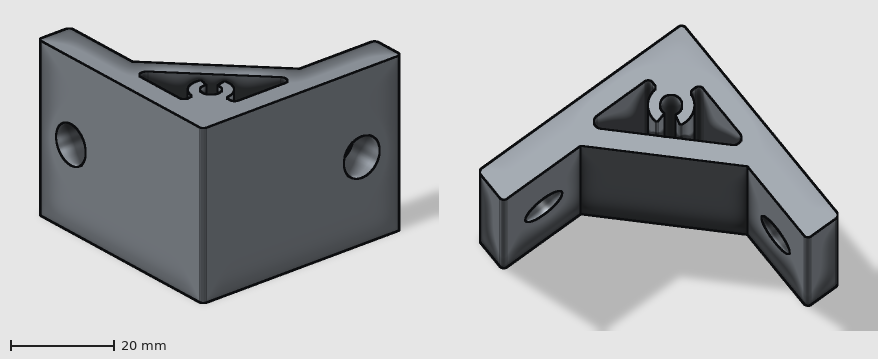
import cadquery as cq
import math

leg_length = 50.0
height = 38.0
leg_thickness = 8.0
corner_radius = 1.0

brace_reach = 39.0
brace_thickness = 4.0

pocket_wall = 5.0
pocket_tip_radius = 1.5
pocket_end_radius = 1.0
ring_root_radius = 0.75

ring_inset = 12.0
ring_outer_radius = 4.5
ring_bore_radius = 2.15
slot_angle = 60.0
slot_direction = 135.0
lip_radius = 0.4

hole_diameter = 9.0
hole_end_distance = 10.0


def round_edges(solid, points, radius):
    """Round the vertical edges that stand on the given XY points."""
    for x, y in points:
        nearest = cq.selectors.NearestToPointSelector((x, y, height / 2))
        solid = solid.edges("|Z").edges(nearest).fillet(radius)
    return solid


def mirrored(point):
    """Reflect an XY point across the bracket's diagonal symmetry plane."""
    x, y = point
    return (-y, -x)


def make_body():
    brace_end = brace_reach - leg_thickness
    body = (
        cq.Workplane("XY")
        .polyline([
            (0, 0),
            (-leg_length, 0),
            (-leg_length, leg_thickness),
            (-brace_end, leg_thickness),
            (-leg_thickness, brace_end),
            (-leg_thickness, leg_length),
            (0, leg_length),
        ])
        .close()
        .extrude(height)
    )
    leg_end = [(-leg_length, 0), (-leg_length, leg_thickness)]
    corners = [(0, 0)] + leg_end + [mirrored(point) for point in leg_end]
    return round_edges(body, corners, corner_radius)


def make_ring():
    center = (-ring_inset, ring_inset)
    ring = (
        cq.Workplane("XY")
        .center(*center)
        .circle(ring_outer_radius)
        .circle(ring_bore_radius)
        .extrude(height)
    )
    slot_length = 2 * ring_outer_radius
    slot_sides = [math.radians(slot_direction + side * slot_angle / 2) for side in (-1, 1)]
    slot_ends = [(slot_length * math.cos(a), slot_length * math.sin(a)) for a in slot_sides]
    slot = cq.Workplane("XY").center(*center).polyline([(0, 0)] + slot_ends).close().extrude(height)
    lips = [
        (center[0] + ring_outer_radius * math.cos(a), center[1] + ring_outer_radius * math.sin(a))
        for a in slot_sides
    ]
    return round_edges(ring.cut(slot), lips, lip_radius)


def make_pocket():
    inner_reach = brace_reach - brace_thickness * math.sqrt(2)
    tip = (pocket_wall - inner_reach, pocket_wall)
    pocket = (
        cq.Workplane("XY")
        .polyline([(-pocket_wall, pocket_wall), tip, mirrored(tip)])
        .close()
        .extrude(height)
    )
    pocket = round_edges(pocket, [tip, mirrored(tip)], pocket_tip_radius)

    block = cq.Workplane("XY").rect(-ring_inset, ring_inset, centered=False).extrude(height)
    bore = cq.Workplane("XY").center(-ring_inset, ring_inset).circle(ring_bore_radius).extrude(height)
    pocket = pocket.cut(block).union(bore).cut(make_ring())

    wall_corner = (-ring_inset, pocket_wall)
    ring_root = (-ring_inset, ring_inset - ring_outer_radius)
    pocket = round_edges(pocket, [wall_corner, mirrored(wall_corner)], pocket_end_radius)
    return round_edges(pocket, [ring_root, mirrored(ring_root)], ring_root_radius)


def make_leg_holes():
    hole_offset = leg_length - hole_end_distance
    radius = hole_diameter / 2
    x_leg_hole = cq.Solid.makeCylinder(
        radius, leg_thickness, cq.Vector(-hole_offset, 0, height / 2), cq.Vector(0, 1, 0)
    )
    y_leg_hole = cq.Solid.makeCylinder(
        radius, leg_thickness, cq.Vector(0, hole_offset, height / 2), cq.Vector(-1, 0, 0)
    )
    return cq.Workplane("XY").add(x_leg_hole).add(y_leg_hole).combine()


result = make_body().cut(make_pocket()).cut(make_leg_holes())